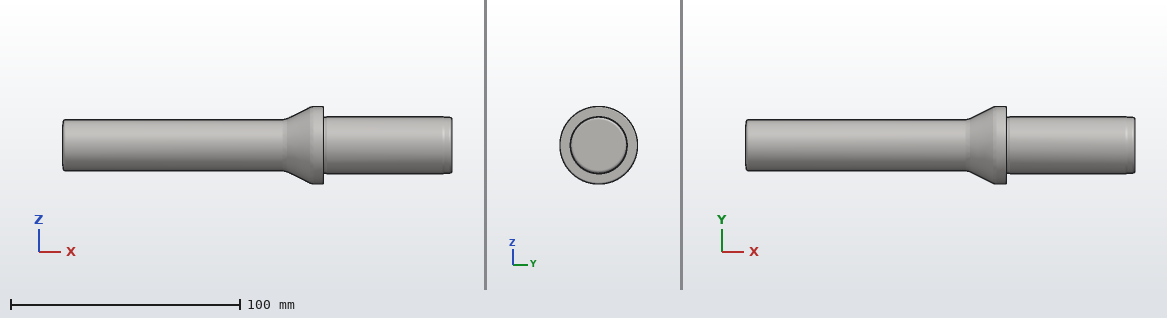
import cadquery as cq
import math

total_length = 170.0
flange_back = 113.9
plug_land_start = 114.8
plug_land_end = 166.8
lead_in_length = 0.8

shank_diameter = 22.5
flange_diameter = 34.0
plug_relief_diameter = 24.5
plug_land_diameter = 25.0

cone_angle = 26.5
flange_front = 108.8
cone_root_fillet = 4.2
cone_rim_fillet = 3.4
flange_back_fillet = 0.7

end_fillet = 1.2
ridge_depth = 0.3
ridge_radii = [8.0, 3.5]
valley_radii = [5.6, 0.0]


def revolve_about_x(points):
    """Solid of revolution from an (x, radius) outline that closes on the X axis."""
    outline = cq.Workplane("XY").polyline(points).close()
    return outline.revolve(360, (0, 0, 0), (1, 0, 0))


def fillet_rim(body, x, radius, fillet):
    """Round the circular edge of the given radius at the given X position."""
    margin = 0.03
    outer = radius + margin
    box = cq.selectors.BoxSelector(
        (x - margin, -outer, -outer), (x + margin, outer, outer), boundingbox=True
    )
    rims = [edge for edge in body.edges(box).vals()
            if edge.geomType() == "CIRCLE" and abs(edge.radius() - radius) < margin]
    return body.newObject(rims).fillet(fillet)


def make_handle():
    """Shank with ridged end face, and the conical flange at its back end."""
    shank_radius = shank_diameter / 2
    flange_radius = flange_diameter / 2
    cone_length = (flange_radius - shank_radius) / math.tan(math.radians(cone_angle))
    cone_start = flange_front - cone_length
    body = revolve_about_x([
        (ridge_depth, 0),
        (ridge_depth, shank_radius),
        (cone_start, shank_radius),
        (flange_front, flange_radius),
        (flange_back, flange_radius),
        (flange_back, 0),
    ])
    body = fillet_rim(body, ridge_depth, shank_radius, end_fillet)
    body = fillet_rim(body, cone_start, shank_radius, cone_root_fillet)
    body = fillet_rim(body, flange_front, flange_radius, cone_rim_fillet)
    body = fillet_rim(body, flange_back, flange_radius, flange_back_fillet)
    return body.union(make_end_ridges(shank_radius - end_fillet))


def make_end_ridges(outer_radius):
    """Cones that rise to two circular ridges, with a dimple at the centre."""
    base = 2 * ridge_depth
    return revolve_about_x([
        (base, 0),
        (base, outer_radius),
        (ridge_depth, outer_radius),
        (0, ridge_radii[0]),
        (ridge_depth, valley_radii[0]),
        (0, ridge_radii[1]),
        (ridge_depth, valley_radii[1]),
    ])


def make_plug():
    """Plug with a raised land between two reliefs and a rounded tip."""
    relief_radius = plug_relief_diameter / 2
    land_radius = plug_land_diameter / 2
    body = revolve_about_x([
        (flange_back, 0),
        (flange_back, relief_radius),
        (plug_land_start, relief_radius),
        (plug_land_start + lead_in_length, land_radius),
        (plug_land_end - lead_in_length, land_radius),
        (plug_land_end, relief_radius),
        (total_length, relief_radius),
        (total_length, 0),
    ])
    return fillet_rim(body, total_length, relief_radius, end_fillet)


handle = make_handle()
plug = make_plug()

result = cq.Compound.makeCompound([handle.val(), plug.val()])